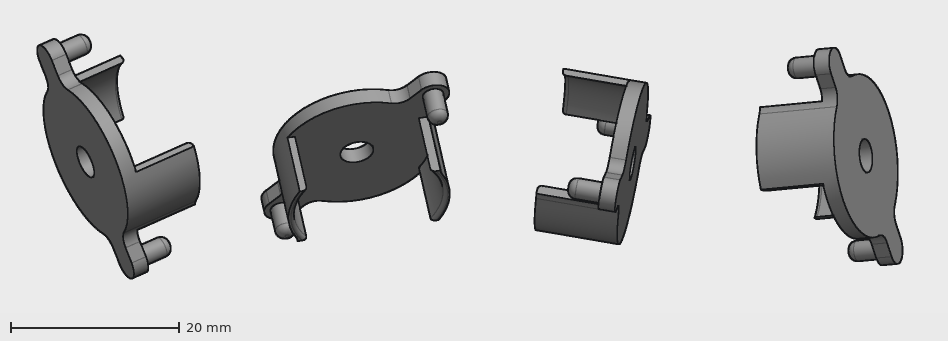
import cadquery as cq
import math

overall_width = 22.37
overall_depth = 10.0
plate_thickness = 2.0
disc_radius = 9.75
hole_diameter = 4.0
lug_radius = 2.0
neck_fillet = 2.0
pin_diameter = 2.5
pin_length = 4.0
pin_tip_fillet = 1.0
arm_inner_radius = 9.0
arm_width = 10.0
arm_tip_fillet = 0.5

lug_offset = overall_width / 2 - lug_radius
lug_centers = [(-lug_offset, lug_offset), (lug_offset, -lug_offset)]
lug_spacing = 2 * math.sqrt(2) * lug_offset


def outline_prism(depth):
    """Disc with two diagonal lugs and rounded necks, from Y = 0 to Y = depth."""
    disc = cq.Workplane("XZ").circle(disc_radius).extrude(-depth)
    lugs = (
        cq.Workplane("XZ")
        .slot2D(lug_spacing + 2 * lug_radius, 2 * lug_radius, -45)
        .extrude(-depth)
    )
    body = disc.union(lugs)

    neck_angle = math.degrees(math.asin(lug_radius / disc_radius))
    for lug_angle in (135, -45):
        for side in (-1, 1):
            angle = math.radians(lug_angle + side * neck_angle)
            corner = (disc_radius * math.cos(angle), depth / 2, disc_radius * math.sin(angle))
            body = body.edges(cq.NearestToPointSelector(corner)).fillet(neck_fillet)
    return body


def arms():
    """Two curved walls at -X and +X, following the plate outline outside."""
    band = cq.Workplane("XZ").rect(2 * disc_radius, arm_width).extrude(-overall_depth)
    bore = cq.Workplane("XZ").circle(arm_inner_radius).extrude(-overall_depth)
    walls = outline_prism(overall_depth).intersect(band).cut(bore)
    for side in (-1, 1):
        inner_tip = (side * arm_inner_radius, overall_depth, 0)
        walls = walls.edges(cq.NearestToPointSelector(inner_tip)).fillet(arm_tip_fillet)
    return walls


def pins():
    """Round-tipped pins centered on the lugs, rooted at the front of the plate."""
    return (
        cq.Workplane("XZ")
        .pushPoints(lug_centers)
        .circle(pin_diameter / 2)
        .extrude(-(plate_thickness + pin_length))
        .faces(">Y")
        .edges()
        .fillet(pin_tip_fillet)
    )


center_hole = cq.Workplane("XZ").circle(hole_diameter / 2).extrude(-plate_thickness)

result = outline_prism(plate_thickness).union(arms()).union(pins()).cut(center_hole)